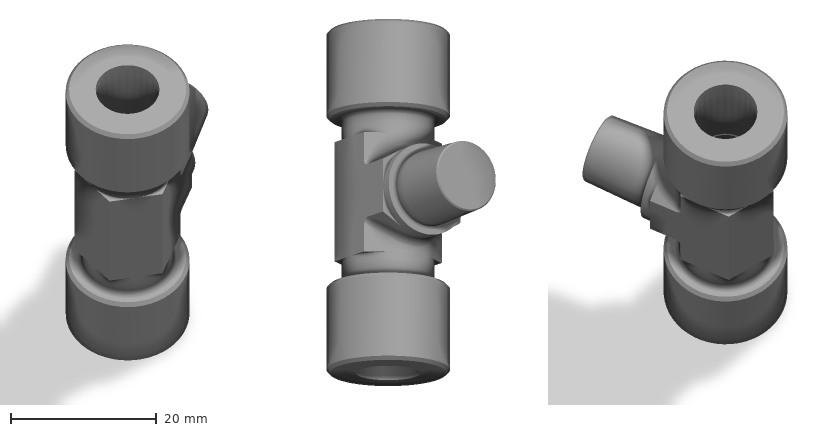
import cadquery as cq
import math

length = 48.0
collar_radius = 8.5
collar_length = 12.3
collar_chamfer = 0.5
neck_radius = 6.4
neck_fillet = 0.6

mouth_radius = 4.35
taper_end_radius = 3.95
bore_radius = 3.75

body_height = 16.8
arm_end = 8.4
crease_fillet = 0.95

flange_end = 9.85
spigot_end = 19.6
spigot_radius = 5.2
spigot_straight_end = 11.25
spigot_tip_radius = 4.9
spigot_chamfer = 0.2

half_length = length / 2
hex_corner_radius = neck_radius / math.cos(math.radians(30))
hex_half_side = hex_corner_radius / 2
tangent_height = neck_radius * math.cos(math.radians(30))
tangent_half_width = neck_radius * math.sin(math.radians(30))


def cylinder_y(radius, start, end):
    """Cylinder about the Y axis between two Y positions."""
    return cq.Workplane("XZ", origin=(0, start, 0)).circle(radius).extrude(start - end)


def make_body():
    """Full hexagon prism along Z, with its rear apex cut back to the tangent lines."""
    outline = [
        (0, -hex_corner_radius),
        (neck_radius, -hex_half_side),
        (neck_radius, hex_half_side),
        (tangent_half_width, tangent_height),
        (-tangent_half_width, tangent_height),
        (-neck_radius, hex_half_side),
        (-neck_radius, -hex_half_side),
    ]
    return cq.Workplane("XY").polyline(outline).close().extrude(body_height / 2, both=True)


def make_arm():
    """Hexagon prism along Y, with upper and lower apexes cut back to the tangent lines."""
    outline = [
        (neck_radius, -hex_half_side),
        (neck_radius, hex_half_side),
        (tangent_half_width, tangent_height),
        (-tangent_half_width, tangent_height),
        (-neck_radius, hex_half_side),
        (-neck_radius, -hex_half_side),
        (-tangent_half_width, -tangent_height),
        (tangent_half_width, -tangent_height),
    ]
    return cq.Workplane("XZ").polyline(outline).close().extrude(-arm_end)


def make_collar():
    """Upper collar with chamfered rims and a fillet flaring out of the neck."""
    bottom = half_length - collar_length
    collar = (
        cq.Workplane("XY", origin=(0, 0, bottom))
        .circle(collar_radius)
        .extrude(collar_length)
        .edges()
        .chamfer(collar_chamfer)
    )
    flare = (
        cq.Workplane("XZ")
        .moveTo(0, bottom - neck_fillet)
        .lineTo(neck_radius, bottom - neck_fillet)
        .radiusArc((neck_radius + neck_fillet, bottom), neck_fillet)
        .lineTo(0, bottom)
        .close()
        .revolve(360, (0, 0, 0), (0, 1, 0))
    )
    return collar.union(flare)


def make_spigot():
    """Straight root, gentle taper and chamfered tip."""
    return (
        cq.Workplane("XY")
        .moveTo(0, arm_end)
        .lineTo(spigot_radius, arm_end)
        .lineTo(spigot_radius, spigot_straight_end)
        .lineTo(spigot_tip_radius, spigot_end - spigot_chamfer)
        .lineTo(spigot_tip_radius - spigot_chamfer, spigot_end)
        .lineTo(0, spigot_end)
        .close()
        .revolve(360, (0, 0, 0), (0, 1, 0))
    )


def make_bore():
    """Through bore with a small shoulder and a taper opening towards each mouth."""
    collar_floor = half_length - collar_length
    return (
        cq.Workplane("XZ")
        .moveTo(0, -half_length)
        .lineTo(mouth_radius, -half_length)
        .lineTo(taper_end_radius, -collar_floor)
        .lineTo(bore_radius, -collar_floor)
        .lineTo(bore_radius, collar_floor)
        .lineTo(taper_end_radius, collar_floor)
        .lineTo(mouth_radius, half_length)
        .lineTo(0, half_length)
        .close()
        .revolve(360, (0, 0, 0), (0, 1, 0))
    )


def is_crease(edge):
    """True for the mitred edges where the arm meets the run, on the plane |z| = y."""
    tolerance = 0.0005
    middle = edge.positionAt(0.5)
    points = [edge.startPoint(), edge.endPoint(), middle]
    return middle.y > hex_half_side and all(abs(abs(p.z) - p.y) < tolerance for p in points)


core = make_body().union(make_arm())
core = core.union(cq.Workplane("XY").circle(neck_radius).extrude(half_length - collar_length, both=True))
core = core.union(cylinder_y(neck_radius, 0, flange_end))
core = core.clean()
creases = [edge for edge in core.edges().vals() if is_crease(edge)]
core = core.newObject(creases).fillet(crease_fillet)

collar = make_collar()
result = (
    core.union(collar)
    .union(collar.mirror("XY"))
    .union(make_spigot())
    .cut(make_bore())
    .clean()
)